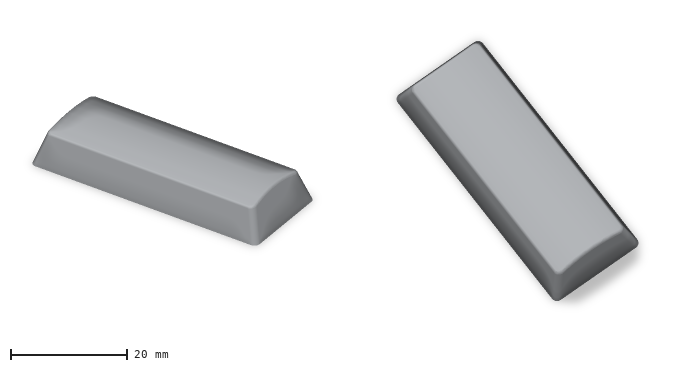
import cadquery as cq
import math

length = 46.9
width = 18.3
height = 7.2

wall_taper = 17.7
crown_drop = 1.1
corner_radius = 1.15
rim_radius = 0.6
trim_allowance = 0.45

dome_half_width = width / 2 - (height - crown_drop) * math.tan(math.radians(wall_taper))
dome_radius = (dome_half_width**2 + crown_drop**2) / (2 * crown_drop)


def tapered_block():
    """Block with four walls leaning inward and rounded sloping corner edges."""
    block = cq.Workplane("XY").rect(length, width).extrude(height + trim_allowance, taper=wall_taper)
    corner_edges = block.edges("not(#Z)")
    return corner_edges.fillet(corner_radius)


def dome_cylinder():
    """Cylinder along X whose highest line is the ridge of the top."""
    return (
        cq.Workplane("YZ")
        .center(0, height - dome_radius)
        .circle(dome_radius)
        .extrude(length / 2, both=True)
    )


def round_rim(body):
    """Round the edge all around the domed top."""
    return body.faces(">Z").edges().fillet(rim_radius)


domed_block = tapered_block().intersect(dome_cylinder())
result = round_rim(domed_block)